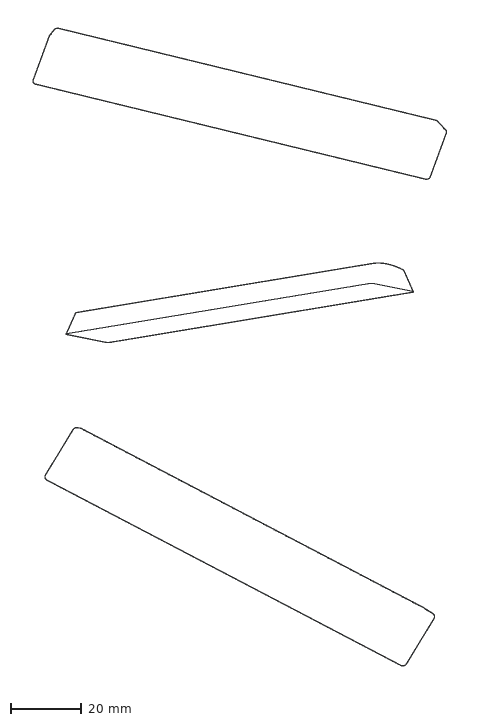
import cadquery as cq
import math

length = 118.3
width = 18.5
height = 7.2

end_wall_lean = 17.5
side_wall_lean = 17.0

shoulder_height = 6.2

corner_radius = 1.3
rim_radius = 0.6

lean_tolerance = 0.01


def inset(lean, rise):
    """Horizontal distance a leaning wall moves inward over a rise."""
    return rise * math.tan(math.radians(lean))


def crowned_bar():
    """Long bar along X with leaning side walls and an arched top."""
    half_base = width / 2
    half_shoulder = half_base - inset(side_wall_lean, shoulder_height)
    return (
        cq.Workplane("YZ")
        .moveTo(-half_base, 0)
        .lineTo(half_base, 0)
        .lineTo(half_shoulder, shoulder_height)
        .threePointArc((0, height), (-half_shoulder, shoulder_height))
        .close()
        .extrude(length / 2, both=True)
    )


def end_wall_envelope():
    """Trapezoid seen along Y that gives the bar its leaning end walls."""
    half_base = length / 2
    half_top = half_base - inset(end_wall_lean, height)
    return (
        cq.Workplane("XZ")
        .polyline([(-half_base, 0), (half_base, 0), (half_top, height), (-half_top, height)])
        .close()
        .extrude(width / 2, both=True)
    )


def is_corner_edge(edge):
    """True for an edge that leans away from all three axes."""
    direction = edge.tangentAt(0).toTuple()
    return all(abs(component) > lean_tolerance for component in direction)


bar = crowned_bar().intersect(end_wall_envelope())

corner_edges = [edge for edge in bar.edges("%LINE").vals() if is_corner_edge(edge)]
bar = bar.newObject(corner_edges).fillet(corner_radius)

result = bar.faces(">Z").edges().fillet(rim_radius)